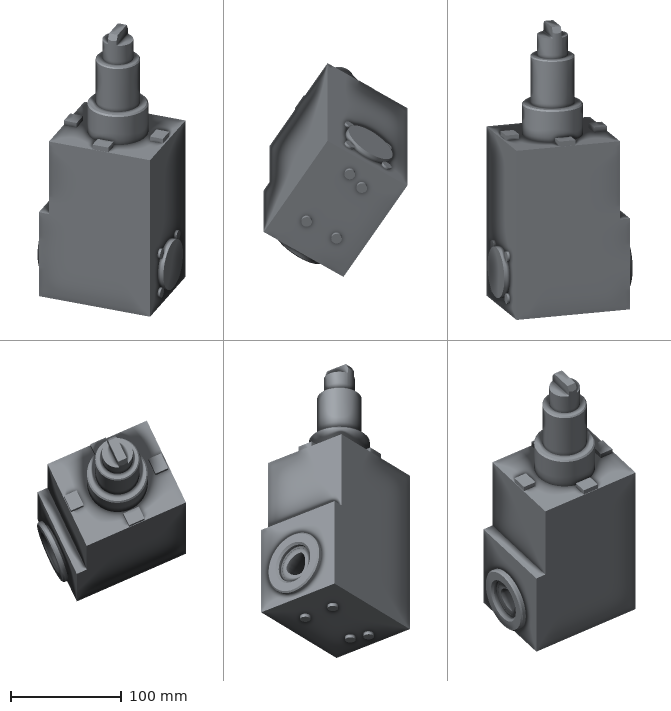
import cadquery as cq
import math


depth = 85.0
height = 158.8
step_height = 85.2
lower_left, upper_left, right_side = -59.7, -50.0, 48.5

shaft_steps = [(55.0, 29.7, 1.3), (40.0, 74.4, 1.0), (28.0, 93.5, 0)]
tang_diameter = shaft_steps[-1][0]
tang_width = 8.5
tang_height = 10.0
tang_bevel_inset = 3.2
tang_bevel_drop = 5.5
tang_root_radius = 2.0 / 2

pad_width = 15.5
pad_length = 12.5
pad_height = 4.8
pad_center_x = -1.3
pad_reach_x = 42.0
pad_reach_y = 35.8

foot_diameter = 9.5
foot_height = 3.2
foot_centers = [(-29.2, -16.0), (-29.2, 16.0), (31.9, -8.2), (26.0, 8.2)]
bolt_height = 2.5
bolt_reach = 19.7

port_z = 33.7
cover_diameter = 47.0
cover_thickness = 5.3
neck_diameter = 49.0
neck_length = 2.7
flange_diameter = 59.0
flange_thickness = 4.5
flange_chamfer = 1.3
flange_face = lower_left - neck_length - flange_thickness
recess_mouth_diameter = 40.0
recess_diameter = 36.0
recess_depth = 5.0
inner_recess_diameter = 32.0
inner_recess_depth = 5.3

socket_mean_radius = 11.0
lobe_rise = 0.88
spline_points = 36
socket_depth = 31.9


def cylinder_x(diameter, start_x, length):
    """Cylinder on the port axis, growing in +X from start_x."""
    return cq.Workplane("YZ", origin=(start_x, 0, port_z)).circle(diameter / 2).extrude(length)


def housing():
    outline = [
        (lower_left, 0), (right_side, 0), (right_side, height),
        (upper_left, height), (upper_left, step_height), (lower_left, step_height),
    ]
    return cq.Workplane("XZ").polyline(outline).close().extrude(depth / 2, both=True)


def shaft():
    body = None
    base = height
    for diameter, top, chamfer in shaft_steps:
        step_top = height + top
        step = cq.Workplane(origin=(0, 0, base)).circle(diameter / 2).extrude(step_top - base)
        if chamfer:
            step = step.faces(">Z").edges().chamfer(chamfer)
        body = step if body is None else body.union(step)
        base = step_top
    return body.union(tang(base))


def tang(base):
    """Flat driving blade with rounded root and bevelled ends, within the shaft diameter."""
    radius = tang_diameter / 2
    half_width = tang_width / 2
    root = half_width + tang_root_radius
    bend = tang_root_radius * (1 - math.sqrt(0.5))
    profile = (
        cq.Workplane("XZ", origin=(0, 0, base))
        .moveTo(-root, 0)
        .lineTo(root, 0)
        .threePointArc((half_width + bend, bend), (half_width, tang_root_radius))
        .lineTo(half_width, tang_height)
        .lineTo(-half_width, tang_height)
        .lineTo(-half_width, tang_root_radius)
        .threePointArc((-half_width - bend, bend), (-root, 0))
        .close()
        .extrude(radius, both=True)
    )
    shoulder = tang_height - tang_bevel_drop
    crown = radius - tang_bevel_inset
    side_outline = [
        (-radius, 0), (radius, 0), (radius, shoulder),
        (crown, tang_height), (-crown, tang_height), (-radius, shoulder),
    ]
    side = cq.Workplane("YZ", origin=(0, 0, base)).polyline(side_outline).close()
    envelope = cq.Workplane(origin=(0, 0, base)).circle(radius).extrude(tang_height)
    return profile.intersect(side.extrude(radius, both=True)).intersect(envelope)


def pads():
    top = cq.Workplane(origin=(0, 0, height))
    x_centers = [(pad_center_x - pad_reach_x, 0), (pad_center_x + pad_reach_x, 0)]
    x_pads = top.pushPoints(x_centers).rect(pad_length, pad_width).extrude(pad_height)
    y_centers = [(0, -pad_reach_y), (0, pad_reach_y)]
    return x_pads.union(top.pushPoints(y_centers).rect(pad_width, pad_length).extrude(pad_height))


def feet():
    return cq.Workplane().pushPoints(foot_centers).circle(foot_diameter / 2).extrude(-foot_height)


def right_cover():
    """Round cover plate with four bolt heads around it."""
    bolts = (
        cq.Workplane("YZ", origin=(right_side, 0, port_z))
        .rect(2 * bolt_reach, 2 * bolt_reach, forConstruction=True)
        .vertices()
        .circle(foot_diameter / 2)
        .extrude(bolt_height)
    )
    return cylinder_x(cover_diameter, right_side, cover_thickness).union(bolts)


def left_flange():
    neck = cylinder_x(neck_diameter, lower_left - neck_length, neck_length)
    flange = cylinder_x(flange_diameter, flange_face, flange_thickness)
    return neck.union(flange.faces("<X").edges().chamfer(flange_chamfer))


def recess():
    """Stepped round recess with a chamfered mouth."""
    mouth_depth = (recess_mouth_diameter - recess_diameter) / 2
    mouth = (
        cq.Workplane("YZ", origin=(flange_face, 0, port_z))
        .circle(recess_mouth_diameter / 2)
        .extrude(mouth_depth, taper=45)
    )
    outer = cylinder_x(recess_diameter, flange_face, recess_depth)
    inner = cylinder_x(inner_recess_diameter, flange_face, inner_recess_depth)
    return mouth.union(outer).union(inner)


def socket():
    """Smooth three-lobed bore traced from its support function, mean + rise * cos(3a)."""

    def curve(turn):
        angle = 2 * math.pi * turn
        support = socket_mean_radius + lobe_rise * math.cos(3 * angle)
        slope = -3 * lobe_rise * math.sin(3 * angle)
        y = support * math.cos(angle) - slope * math.sin(angle)
        z = support * math.sin(angle) + slope * math.cos(angle)
        return y, z

    points = [curve(i / spline_points) for i in range(spline_points)]
    plane = cq.Workplane("YZ", origin=(flange_face, 0, port_z))
    return plane.spline(points, periodic=True).close().extrude(socket_depth)


result = housing()
for feature in (shaft(), pads(), feet(), right_cover(), left_flange()):
    result = result.union(feature)
result = result.cut(recess()).cut(socket())